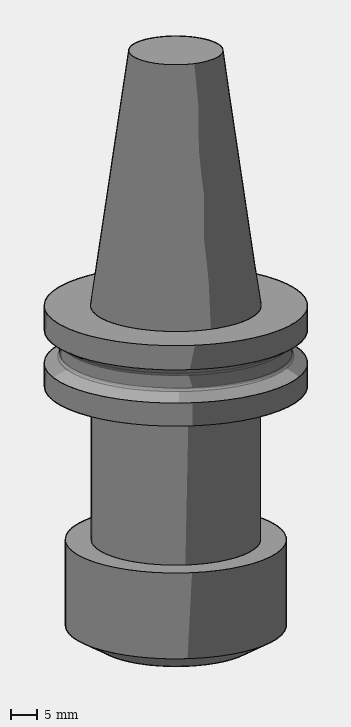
import cadquery as cq

total_height = 117.8

nut_diameter = 41.9
nut_height = 20.5
nut_chamfer_height = 3.4
nut_face_diameter = 30.2

neck_diameter = 32.2
neck_top_fillet = 2.4

flange_diameter = 50.0
flange_bottom = 51.0
flange_height = 16.0
groove_diameter = 44.0
groove_center = 58.9
groove_floor_height = 3.3
groove_mouth_height = 6.6
groove_floor_fillet = 0.7

taper_base_diameter = 32.4
taper_tip_diameter = 17.9

flange_top = flange_bottom + flange_height


def frustum(bottom_diameter, top_diameter, bottom, top):
    """Solid cone frustum on the Z axis between two heights."""
    profile = [
        (0, bottom),
        (bottom_diameter / 2, bottom),
        (top_diameter / 2, top),
        (0, top),
    ]
    return cq.Workplane("XZ").polyline(profile).close().revolve(360, (0, 0), (0, 1))


def cylinder(diameter, bottom, top):
    """Solid cylinder on the Z axis between two heights."""
    return frustum(diameter, diameter, bottom, top)


def make_groove():
    """Ring that cuts the V-flanked groove into the flange rim."""
    half_floor = groove_floor_height / 2
    half_mouth = groove_mouth_height / 2
    profile = [
        (groove_diameter / 2, groove_center - half_floor),
        (flange_diameter / 2, groove_center - half_mouth),
        (flange_diameter / 2, groove_center + half_mouth),
        (groove_diameter / 2, groove_center + half_floor),
    ]
    return cq.Workplane("XZ").polyline(profile).close().revolve(360, (0, 0), (0, 1))


def make_flange():
    """Flange disc with the groove cut and its floor corners rounded."""
    disc = cylinder(flange_diameter, flange_bottom, flange_top)
    grooved = disc.cut(make_groove())
    floor_corners = grooved.edges(cq.selectors.RadiusNthSelector(0))
    return floor_corners.fillet(groove_floor_fillet)


def make_neck():
    """Neck cylinder with a concave fillet where it meets the flange."""
    radius = neck_diameter / 2
    fillet_start = flange_bottom - neck_top_fillet
    arc_offset = neck_top_fillet * (1 - 0.5 ** 0.5)
    profile = (
        cq.Workplane("XZ")
        .moveTo(0, nut_height)
        .lineTo(radius, nut_height)
        .lineTo(radius, fillet_start)
        .threePointArc(
            (radius + arc_offset, flange_bottom - arc_offset),
            (radius + neck_top_fillet, flange_bottom),
        )
        .lineTo(0, flange_bottom)
        .close()
    )
    return profile.revolve(360, (0, 0), (0, 1))


nut_tip = frustum(nut_face_diameter, nut_diameter, 0, nut_chamfer_height)
nut = nut_tip.union(cylinder(nut_diameter, nut_chamfer_height, nut_height))
flange = make_flange()
shank = frustum(taper_base_diameter, taper_tip_diameter, flange_top, total_height)

result = nut.union(make_neck()).union(flange).union(shank)